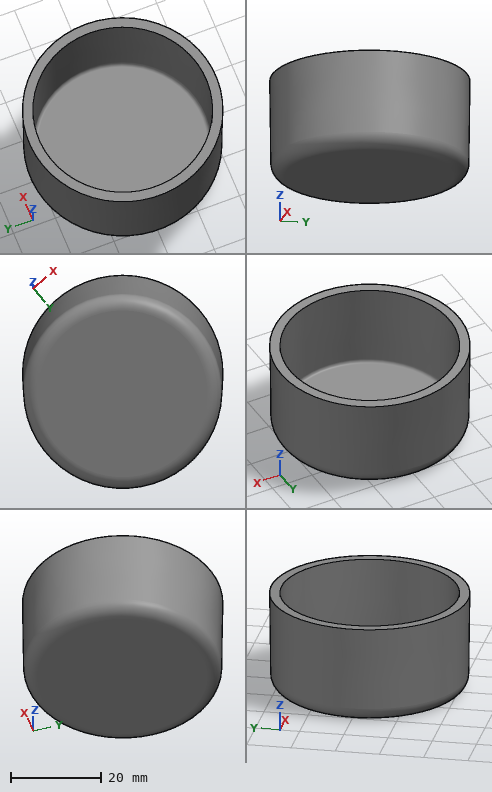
import cadquery as cq
import math

rim_diameter = 44.5
height = 22.15
wall_thickness = 2.3
floor_thickness = 2.25
draft_angle = 0.7
outer_fillet = 3.1
inner_fillet = 0.8


def drafted_plug(rim_radius, depth, edge_fillet):
    """Tapered plug hanging from the rim plane, with its lower edge rounded."""
    bottom_radius = rim_radius - depth * math.tan(math.radians(draft_angle))
    bottom = height - depth
    profile = (
        cq.Workplane("XZ")
        .moveTo(0, bottom)
        .lineTo(bottom_radius, bottom)
        .lineTo(rim_radius, height)
        .lineTo(0, height)
        .close()
    )
    plug = profile.revolve(360, (0, 0, 0), (0, 1, 0))
    return plug.faces("<Z").edges().fillet(edge_fillet)


rim_radius = rim_diameter / 2
body = drafted_plug(rim_radius, height, outer_fillet)
cavity = drafted_plug(rim_radius - wall_thickness, height - floor_thickness, inner_fillet)

result = body.cut(cavity)